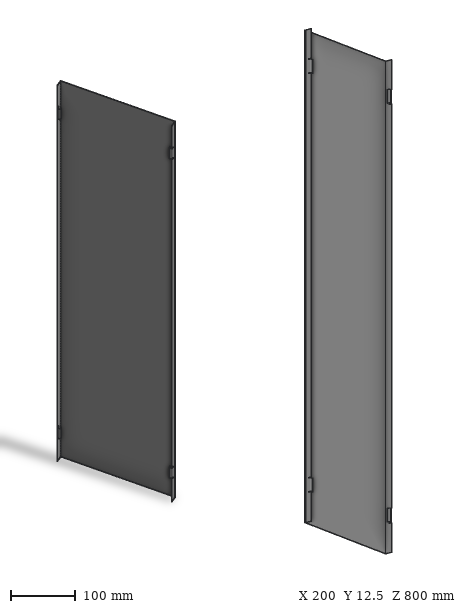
import cadquery as cq

width = 200.0
depth = 12.5
height = 800.0
sheet = 1.2

tab_length = 22.0
tab_center_from_end = 60.0
slit_width = 1.0
slit_depth = 5.0
hook_width = 6.0
lip_height = 4.5
inside_bend = 0.3
outside_bend = inside_bend + sheet

FLANGE_SIDES = (-1, 1)
TAB_HEIGHTS = (tab_center_from_end, height - tab_center_from_end)


def folded_panel():
    """Flat panel with its back face on y = 0 and a flange toward -Y along each long side."""
    outside = cq.Workplane("XY").box(width, depth, height, centered=(True, False, False))
    inside = cq.Workplane("XY").box(width - 2 * sheet, depth, height, centered=(True, False, False))
    return outside.cut(inside.translate((0, -sheet, 0))).translate((0, -depth, 0))


def tab_cutout(side, center_z):
    """Flange material removed for one tab: its edge strip and a round-ended slit at each end."""
    slit_offset = (tab_length + slit_width) / 2
    strip_depth = slit_depth - slit_width / 2
    strip = cq.Workplane("YZ").rect(2 * strip_depth, 2 * slit_offset).extrude(sheet, both=True)
    slits = (
        cq.Workplane("YZ")
        .pushPoints([(0, -slit_offset), (0, slit_offset)])
        .slot2D(2 * slit_depth, slit_width)
        .extrude(sheet, both=True)
    )
    return strip.union(slits).translate((side * width / 2, -depth, center_z))


def hook(side, center_z):
    """J-shaped tab: the flange runs on, turns inward and ends in a lip."""
    outer_x = side * width / 2
    inner_x = outer_x - side * hook_width
    wall = side * sheet
    root_y = slit_depth - depth
    lip_y = lip_height - depth
    web_y = sheet - depth
    bend_y = outside_bend - depth
    bend = side * outside_bend
    tab = (
        cq.Workplane("XY")
        .moveTo(outer_x, root_y)
        .lineTo(outer_x, bend_y)
        .tangentArcPoint((outer_x - bend, -depth), relative=False)
        .lineTo(inner_x + bend, -depth)
        .tangentArcPoint((inner_x, bend_y), relative=False)
        .lineTo(inner_x, lip_y)
        .lineTo(inner_x + wall, lip_y)
        .lineTo(inner_x + wall, bend_y)
        .tangentArcPoint((inner_x + bend, web_y), relative=False)
        .lineTo(outer_x - bend, web_y)
        .tangentArcPoint((outer_x - wall, bend_y), relative=False)
        .lineTo(outer_x - wall, root_y)
        .close()
        .extrude(tab_length)
    )
    return tab.translate((0, 0, center_z - tab_length / 2))


result = folded_panel()
for side in FLANGE_SIDES:
    for center_z in TAB_HEIGHTS:
        result = result.cut(tab_cutout(side, center_z)).union(hook(side, center_z))